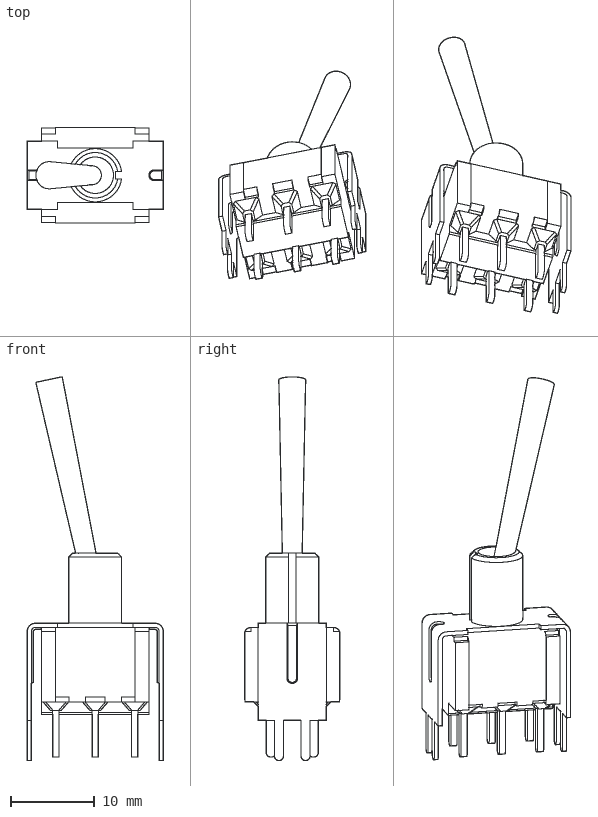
import cadquery as cq
import math


FRAME_LENGTH = 16.26
FRAME_WIDTH = 8.13
FRAME_SHEET = 0.5
BEND_RADIUS = 1.0
SIDE_PLATE_BOTTOM = -11.6
TOP_NOTCH_LENGTH = 8.96
TOP_NECK_WIDTH = 6.5
FRAME_PIN_WIDTH = 1.1
FRAME_PIN_SPACING = 3.18
FRAME_PIN_BOTTOM = -16.41

GROOVE_WIDTH = 1.27
GROOVE_FLOOR_WIDTH = 1.02
GROOVE_DEPTH = 0.25
GROOVE_TOP_END = 6.4
GROOVE_BOTTOM_END = -7.2

HOUSING_LENGTH = 12.83
HOUSING_WIDTH = 11.43
HOUSING_BOTTOM = -9.38
COVER_LENGTH = 9.5
COVER_BOTTOM = -8.8
COVER_EDGE_RADIUS = 0.8
CORNER_STEP_DEPTH = 0.48
CORNER_SETBACK = 0.05
INNER_WIDTH = 9.3
CLIP_LENGTH = 1.95
CLIP_SPACING = 4.28
CLIP_EDGE_RADIUS = 0.5

BASE_WIDTH = 4.4
BASE_BOTTOM = -10.92
BASE_CHAMFER_HEIGHT = 0.25
BASE_CHAMFER_DEPTH = 0.15
COLUMN_PITCH = 4.7
TERMINAL_ROW_OFFSET = 2.53
TERMINAL_THICKNESS = 0.76
TERMINAL_WIDTH = 1.2
TERMINAL_BOTTOM = -16.0
COLLAR_TOP_LENGTH = 3.1
COLLAR_BOTTOM_LENGTH = 1.3
COLLAR_BOTTOM = -10.4
COLLAR_CHAMFER = 0.3

BUSHING_DIAMETER = 6.35
BUSHING_HEIGHT = 8.36
BUSHING_CHAMFER = 0.46
BORE_DIAMETER = 4.35
KEYWAY_WIDTH = 0.9
KEYWAY_FLAT_X = 2.43
LEVER_TOP = 29.4
LEVER_TILT = 12.0
LEVER_TIP_DIAMETER = 3.25
LEVER_ROOT_DIAMETER = 2.2
LEVER_TIP_FILLET = 0.12
PIVOT_HEIGHT = 3.1


def box(x_min, x_max, y_min, y_max, z_min, z_max):
    """Axis-aligned box given by its limits."""
    size = (x_max - x_min, y_max - y_min, z_max - z_min)
    return cq.Workplane("XY").box(*size, centered=False).translate((x_min, y_min, z_min))


def round_ended_pin(x, y, thickness, width, bottom, top):
    """Flat pin, thin along X, whose lower end is a full half circle."""
    half = width / 2
    outline = (
        cq.Workplane("YZ")
        .moveTo(y - half, top)
        .lineTo(y - half, bottom + half)
        .threePointArc((y, bottom), (y + half, bottom + half))
        .lineTo(y + half, top)
        .close()
    )
    return outline.extrude(thickness / 2, both=True).translate((x, 0, 0))


def bent_sheet():
    """U-shaped strip, open at the bottom, with rounded bends."""
    inner_length = FRAME_LENGTH - 2 * FRAME_SHEET
    outside = box(-FRAME_LENGTH / 2, FRAME_LENGTH / 2, -FRAME_WIDTH / 2, FRAME_WIDTH / 2,
                  SIDE_PLATE_BOTTOM, 0)
    inside = box(-inner_length / 2, inner_length / 2, -FRAME_WIDTH / 2, FRAME_WIDTH / 2,
                 SIDE_PLATE_BOTTOM, -FRAME_SHEET)
    outside = outside.edges("|Y and >Z").fillet(BEND_RADIUS)
    inside = inside.edges("|Y and >Z").fillet(BEND_RADIUS - FRAME_SHEET)
    return outside.cut(inside)


def groove_form(inset):
    """Tapered, round-ended form running over the +X bend, starting `inset` below the sheet's face."""
    side_x = FRAME_LENGTH / 2 - inset
    top_z = -inset
    bend = BEND_RADIUS - inset
    half_mouth = GROOVE_WIDTH / 2
    half_floor = GROOVE_FLOOR_WIDTH / 2
    top_centre_x = GROOVE_TOP_END + half_mouth
    bottom_centre_z = GROOVE_BOTTOM_END + half_mouth
    bend_x = side_x - bend
    bend_z = top_z - bend

    path = (
        cq.Workplane("XZ")
        .moveTo(top_centre_x, top_z)
        .lineTo(bend_x, top_z)
        .radiusArc((side_x, bend_z), bend)
        .lineTo(side_x, bottom_centre_z)
    )
    section = cq.Workplane("YZ", origin=(top_centre_x, 0, top_z)).polyline([
        (-half_mouth, 0),
        (half_mouth, 0),
        (half_floor, -GROOVE_DEPTH),
        (-half_floor, -GROOVE_DEPTH),
    ]).close()
    form = section.sweep(path)
    ends = (
        (cq.Vector(top_centre_x, 0, top_z), cq.Vector(0, 0, -1)),
        (cq.Vector(side_x, 0, bottom_centre_z), cq.Vector(-1, 0, 0)),
    )
    for centre, inward in ends:
        end = cq.Solid.makeCone(half_mouth, half_floor, GROOVE_DEPTH, centre, inward)
        form = form.union(cq.Workplane(end))
    return form


def make_frame():
    """Bent frame with top notches, pressed grooves and four mounting pins."""
    frame = bent_sheet()
    notch = box(-TOP_NOTCH_LENGTH / 2, TOP_NOTCH_LENGTH / 2, TOP_NECK_WIDTH / 2, FRAME_WIDTH / 2,
                -FRAME_SHEET, 0)
    frame = frame.cut(notch).cut(notch.mirror("XZ"))
    ridge = groove_form(FRAME_SHEET)
    groove = groove_form(0)
    frame = frame.union(ridge).union(ridge.mirror("YZ"))
    frame = frame.cut(groove).cut(groove.mirror("YZ"))
    pin_x = (FRAME_LENGTH - FRAME_SHEET) / 2
    pin_top = SIDE_PLATE_BOTTOM + FRAME_SHEET
    for x in (-pin_x, pin_x):
        for y in (-FRAME_PIN_SPACING / 2, FRAME_PIN_SPACING / 2):
            frame = frame.union(
                round_ended_pin(x, y, FRAME_SHEET, FRAME_PIN_WIDTH, FRAME_PIN_BOTTOM, pin_top))
    return frame


def make_housing():
    """Block with a round-edged cover on each long side, stepped corners and snap clips."""
    top = -FRAME_SHEET
    half_width = HOUSING_WIDTH / 2
    half_cover = COVER_LENGTH / 2
    half_length = HOUSING_LENGTH / 2
    step_y = half_width - COVER_EDGE_RADIUS
    housing = box(-half_length, half_length, -step_y, step_y, HOUSING_BOTTOM, top)
    corner_y = half_width - CORNER_SETBACK
    corners = box(-half_length, half_length, -corner_y, corner_y, HOUSING_BOTTOM, top - CORNER_STEP_DEPTH)
    covers = box(-half_cover, half_cover, -half_width, half_width, HOUSING_BOTTOM, top)
    covers = covers.edges("|X and >Z").fillet(COVER_EDGE_RADIUS)
    between_corners = box(-half_cover, half_cover, -half_width, half_width, HOUSING_BOTTOM, top)
    housing = housing.union(corners.cut(between_corners)).union(covers)

    under_cover = box(-half_cover, half_cover, INNER_WIDTH / 2, half_width, HOUSING_BOTTOM, COVER_BOTTOM)
    for x in (-CLIP_SPACING / 2, CLIP_SPACING / 2):
        clip = box(x - CLIP_LENGTH / 2, x + CLIP_LENGTH / 2, INNER_WIDTH / 2, half_width,
                   HOUSING_BOTTOM, COVER_BOTTOM)
        under_cover = under_cover.cut(clip.edges("|X and >Y and <Z").fillet(CLIP_EDGE_RADIUS))
    return housing.cut(under_cover).cut(under_cover.mirror("XZ"))


def chamfered_rectangle(length, width, z):
    """Closed wire: rectangle centred on Z with its corners cut off."""
    x = length / 2
    y = width / 2
    c = COLLAR_CHAMFER
    points = [
        (x - c, -y), (x, -y + c), (x, y - c), (x - c, y),
        (-x + c, y), (-x, y - c), (-x, -y + c), (-x + c, -y),
    ]
    return cq.Wire.makePolygon([cq.Vector(px, py, z) for px, py in points], close=True)


def make_collar():
    """Tapered collar around both terminals of one column."""
    bottom_width = INNER_WIDTH - 2 * (HOUSING_BOTTOM - COLLAR_BOTTOM)
    upper = chamfered_rectangle(COLLAR_TOP_LENGTH, INNER_WIDTH, HOUSING_BOTTOM)
    lower = chamfered_rectangle(COLLAR_BOTTOM_LENGTH, bottom_width, COLLAR_BOTTOM)
    return cq.Workplane(cq.Solid.makeLoft([upper, lower], True))


def make_terminal_base():
    """Base under the housing with three collars and two rows of terminals."""
    half_length = HOUSING_LENGTH / 2
    base = box(-half_length, half_length, -BASE_WIDTH / 2, BASE_WIDTH / 2, BASE_BOTTOM, HOUSING_BOTTOM)
    base = base.edges("|X and <Z").chamfer(BASE_CHAMFER_HEIGHT, BASE_CHAMFER_DEPTH)
    collar = make_collar()
    for column in (-1, 0, 1):
        x = column * COLUMN_PITCH
        base = base.union(collar.translate((x, 0, 0)))
        for y in (-TERMINAL_ROW_OFFSET, TERMINAL_ROW_OFFSET):
            base = base.union(round_ended_pin(
                x, y, TERMINAL_THICKNESS, TERMINAL_WIDTH, TERMINAL_BOTTOM, HOUSING_BOTTOM))
    return base


def make_bushing():
    """Keyed bushing whose bore ends on the upper half of the lever's ball."""
    bushing = cq.Workplane("XY").circle(BUSHING_DIAMETER / 2).extrude(BUSHING_HEIGHT)
    bushing = bushing.faces(">Z").chamfer(BUSHING_CHAMFER)
    bore = (
        cq.Workplane("XY", origin=(0, 0, PIVOT_HEIGHT))
        .circle(BORE_DIAMETER / 2)
        .extrude(BUSHING_HEIGHT - PIVOT_HEIGHT)
    )
    ball = cq.Workplane("XY").sphere(BORE_DIAMETER / 2).translate((0, 0, PIVOT_HEIGHT))
    keyway = box(KEYWAY_FLAT_X, BUSHING_DIAMETER / 2, -KEYWAY_WIDTH / 2, KEYWAY_WIDTH / 2, 0, BUSHING_HEIGHT)
    return bushing.cut(bore.cut(ball)).cut(keyway)


def make_lever():
    """Bat lever, tapering from its tip to the ball and tilted toward -X."""
    tilt = math.radians(LEVER_TILT)
    tip_radius = LEVER_TIP_DIAMETER / 2
    rim_rise = (tip_radius - LEVER_TIP_FILLET) * math.sin(tilt)
    length = (LEVER_TOP - rim_rise - PIVOT_HEIGHT) / math.cos(tilt)
    lever = cq.Workplane(cq.Solid.makeCone(LEVER_ROOT_DIAMETER / 2, tip_radius, length))
    lever = lever.faces(">Z").edges().fillet(LEVER_TIP_FILLET)
    return lever.rotate((0, 0, 0), (0, 1, 0), -LEVER_TILT).translate((0, 0, PIVOT_HEIGHT))


result = make_housing()
for component in (make_terminal_base(), make_frame(), make_bushing(), make_lever()):
    result = result.union(component)